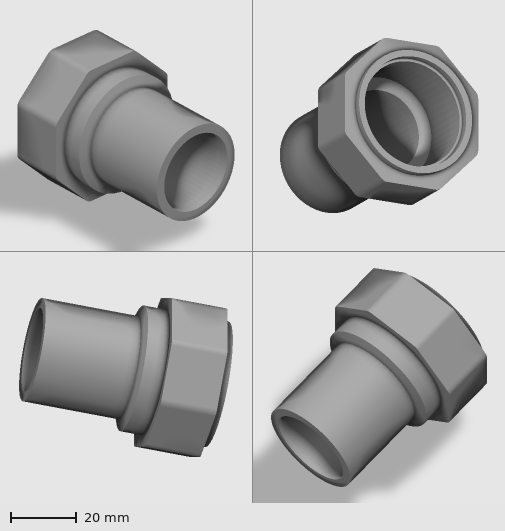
import cadquery as cq
import math

total_length = 58.0
nut_start = 2.6
nut_end = 20.05
collar_end = 26.7
shoulder_end = 28.1
mouth_depth = nut_start
socket_depth = 21.0

nut_sides = 8
half_side_angle = 180 / nut_sides
nut_across_flats = 46.0
nut_corner_radius = 2.9
collar_diameter = 39.0
tube_diameter = 32.0
mouth_diameter = 35.0
socket_diameter = 33.25
bore_diameter = 26.0

seat_lean_angle = 20.0
seat_width = (socket_diameter - bore_diameter) / 2
seat_end = socket_depth + seat_width * math.tan(math.radians(seat_lean_angle))


def revolve_about_x(profile):
    """Turn a list of (x, diameter) stations into a solid of revolution."""
    outline = [(x, diameter / 2) for x, diameter in profile]
    first_x = outline[0][0]
    last_x = outline[-1][0]
    points = [(first_x, 0)] + outline + [(last_x, 0)]
    return cq.Workplane("XY").polyline(points).close().revolve(360, (0, 0, 0), (1, 0, 0))


def octagonal_nut():
    """Octagon with flats facing Y and Z and rounded long edges."""
    across_corners = nut_across_flats / math.cos(math.radians(half_side_angle))
    return (
        cq.Workplane("YZ", origin=(nut_start, 0, 0))
        .transformed(rotate=(0, 0, half_side_angle))
        .polygon(nut_sides, across_corners)
        .extrude(nut_end - nut_start)
        .edges("|X")
        .fillet(nut_corner_radius)
    )


outer_body = revolve_about_x([
    (0, collar_diameter),
    (collar_end, collar_diameter),
    (shoulder_end, tube_diameter),
    (total_length, tube_diameter),
])

cavity = revolve_about_x([
    (0, mouth_diameter),
    (mouth_depth, mouth_diameter),
    (mouth_depth, socket_diameter),
    (socket_depth, socket_diameter),
    (seat_end, bore_diameter),
    (total_length, bore_diameter),
])

result = outer_body.union(octagonal_nut()).cut(cavity)